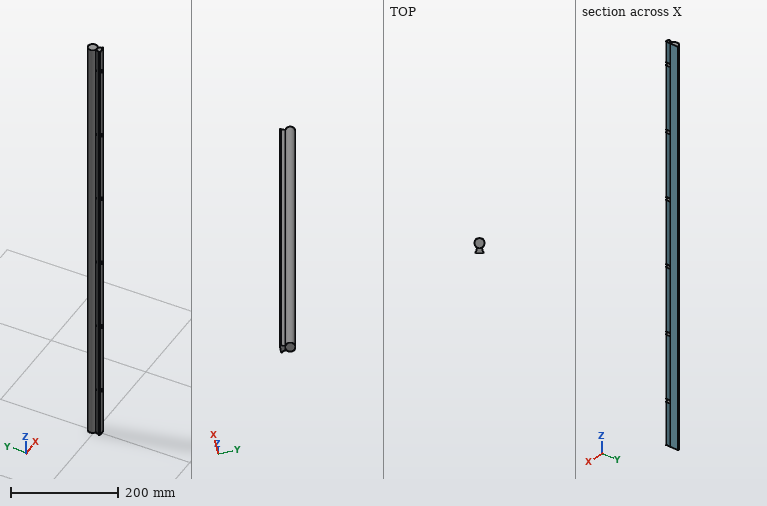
import cadquery as cq
import math

LENGTH = 914.4
SHAFT_DIAMETER = 19.05
BASE_TO_SHAFT_CENTRE = 19.05
BASE_WIDTH = 12.7
FOOT_EDGE_HEIGHT = 1.8
NECK_WIDTH = 13.0
NECK_TAPER = math.radians(15)
HOLE_DIAMETER = 5.8
HOLE_PITCH = 152.4
HOLE_COUNT = 6
TOP_HOLE_OFFSET = HOLE_PITCH / 3

SHAFT_RADIUS = SHAFT_DIAMETER / 2
BASE_Y = -BASE_TO_SHAFT_CENTRE
BASE_HALF = BASE_WIDTH / 2
NECK_HALF = NECK_WIDTH / 2

FOOT_HALF = BASE_HALF + FOOT_EDGE_HEIGHT
FOOT_EDGE_Y = BASE_Y + FOOT_EDGE_HEIGHT
NECK_BOTTOM_Y = FOOT_EDGE_Y + FOOT_HALF - NECK_HALF

LEAN_X = -math.sin(NECK_TAPER)
LEAN_Y = math.cos(NECK_TAPER)
ALONG = NECK_HALF * LEAN_X + NECK_BOTTOM_Y * LEAN_Y
OUTSIDE = NECK_HALF**2 + NECK_BOTTOM_Y**2 - SHAFT_RADIUS**2
NECK_SIDE = -ALONG - math.sqrt(ALONG**2 - OUTSIDE)
SADDLE_HALF = NECK_HALF + NECK_SIDE * LEAN_X
SADDLE_EDGE_Y = NECK_BOTTOM_Y + NECK_SIDE * LEAN_Y

TOP_HOLE_Z = LENGTH - TOP_HOLE_OFFSET


def make_shaft():
    """Plain round shaft standing along Z."""
    return cq.Workplane("XY").circle(SHAFT_RADIUS).extrude(LENGTH)


def make_rail_bar():
    """Bar with a saddle that cradles the shaft, a flared neck and a wider sloped foot."""
    return (
        cq.Workplane("XY")
        .moveTo(-SADDLE_HALF, SADDLE_EDGE_Y)
        .threePointArc((0, -SHAFT_RADIUS), (SADDLE_HALF, SADDLE_EDGE_Y))
        .lineTo(NECK_HALF, NECK_BOTTOM_Y)
        .lineTo(FOOT_HALF, FOOT_EDGE_Y)
        .lineTo(BASE_HALF, BASE_Y)
        .lineTo(-BASE_HALF, BASE_Y)
        .lineTo(-FOOT_HALF, FOOT_EDGE_Y)
        .lineTo(-NECK_HALF, NECK_BOTTOM_Y)
        .close()
        .extrude(LENGTH)
    )


def make_screw_holes():
    """Row of cylinders that run from the base through to the saddle."""
    centres = [(0, TOP_HOLE_Z - index * HOLE_PITCH) for index in range(HOLE_COUNT)]
    return (
        cq.Workplane("XZ", origin=(0, BASE_Y, 0))
        .pushPoints(centres)
        .circle(HOLE_DIAMETER / 2)
        .extrude(-BASE_TO_SHAFT_CENTRE)
    )


shaft = make_shaft()
rail = make_rail_bar().cut(make_screw_holes()).solids()

result = cq.Compound.makeCompound([shaft.val(), rail.val()])